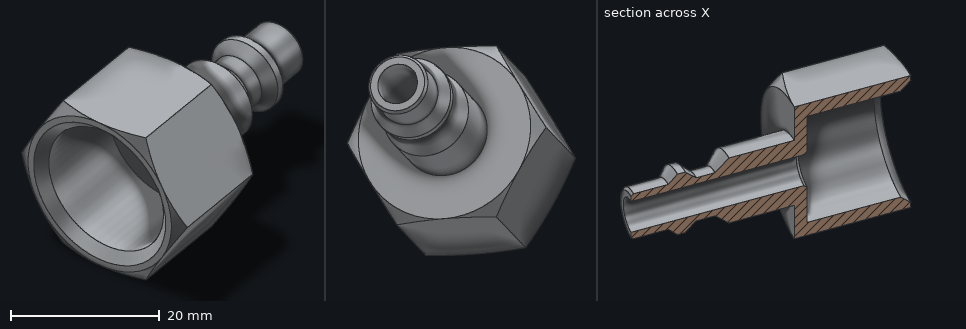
import cadquery as cq
import math

total_length = 40.5
across_flats = 24.0
hex_length = 16.9
hex_chamfer_angle = math.radians(30)

shank_radius = 5.95
neck_radius = 3.95
collar_radius = 5.55
tip_radius = 4.15
tip_chamfer = 0.35

shank_end = 26.32
neck_start = 28.35
neck_end = 31.05
collar_start = 32.65
collar_end = 33.78
tip_start = 35.1

mouth_radius = 11.05
socket_radius = 9.6
socket_depth = 15.0
mouth_chamfer_depth = mouth_radius - socket_radius
passage_radius = 2.75
passage_mouth_radius = 3.25
passage_chamfer_depth = passage_mouth_radius - passage_radius


def revolve_about_axis(profile):
    """Turn a closed (radius, station) profile about the Y axis."""
    return cq.Workplane("XY").polyline(profile).close().revolve(360, (0, 0, 0), (0, 1, 0))


def hex_body():
    """Hexagonal nut with flats facing +Z and -Z and both ends turned to a cone."""
    flat_radius = across_flats / 2
    corner_radius = flat_radius / math.cos(math.pi / 6)
    prism = cq.Workplane("XZ").polygon(6, 2 * corner_radius).extrude(-hex_length)
    envelope_radius = corner_radius + 0.4
    chamfer_depth = (envelope_radius - flat_radius) * math.tan(hex_chamfer_angle)
    envelope = revolve_about_axis([
        (0, 0),
        (flat_radius, 0),
        (envelope_radius, chamfer_depth),
        (envelope_radius, hex_length - chamfer_depth),
        (flat_radius, hex_length),
        (0, hex_length),
    ])
    return prism.intersect(envelope)


def plug_stem():
    """Stepped plug with a locking collar; it starts at the socket floor."""
    return revolve_about_axis([
        (0, socket_depth),
        (shank_radius, socket_depth),
        (shank_radius, shank_end),
        (neck_radius, neck_start),
        (neck_radius, neck_end),
        (collar_radius, collar_start),
        (collar_radius, collar_end),
        (tip_radius, tip_start),
        (tip_radius, total_length - tip_chamfer),
        (tip_radius - tip_chamfer, total_length),
        (0, total_length),
    ])


def inner_cavity():
    """Chamfered socket and the chamfered passage leading to the plug tip."""
    return revolve_about_axis([
        (0, 0),
        (mouth_radius, 0),
        (socket_radius, mouth_chamfer_depth),
        (socket_radius, socket_depth),
        (passage_mouth_radius, socket_depth),
        (passage_radius, socket_depth + passage_chamfer_depth),
        (passage_radius, total_length),
        (0, total_length),
    ])


result = hex_body().union(plug_stem()).cut(inner_cavity())